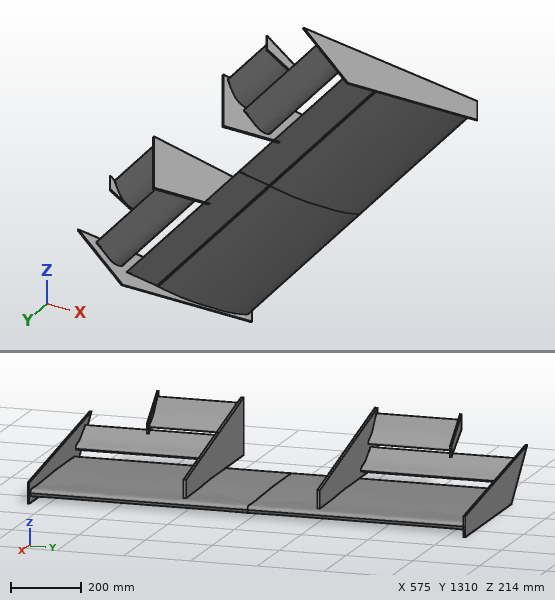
import cadquery as cq


half_span = 655.0
end_plate_thickness = 5.0
inner_plate_outer_y = 205.0
inner_plate_thickness = 8.0
tip_plate_outer_y = 456.0
tip_plate_thickness = 5.0
wing_tip_y = half_span - end_plate_thickness
tip_plate_inner_y = tip_plate_outer_y - tip_plate_thickness

overall_length = 575.0
overall_height = 214.0

main_tail = (165.0, 45.0)
main_top = [(367.0, 43.0), (532.0, 39.0)]
main_nose = (566.0, 29.0)
main_underside = [(550.0, 16.0), (514.0, 9.0), (410.0, 8.0), (343.0, 13.0), (267.0, 28.0)]

middle_tail = (65.0, 114.0)
middle_top = [(95.0, 94.0), (123.0, 80.0)]
middle_nose = (153.0, 64.0)
middle_underside = [(136.0, 59.0), (118.0, 65.0), (93.0, 88.0)]

upper_tail = (13.0, 200.0)
upper_top = [(35.0, 172.0), (67.0, 144.0)]
upper_nose = (85.0, 127.0)
upper_underside = [(71.0, 126.0), (52.0, 135.0), (35.0, 153.0), (25.0, 173.0)]

end_plate_tail = (8.0, 140.0)
end_plate_front_height = 62.0
end_plate_bottom_tail_x = 152.0

inner_plate_length = 527.0
inner_plate_front_height = 93.0

tip_plate_length = 93.0
tip_plate_tail_bottom = 169.0
tip_plate_front_top = 140.0
tip_plate_front_bottom = 109.0


def extrude_between(profile, inner_y, outer_y):
    """Extrude a closed XZ profile from inner_y to outer_y on the +Y side."""
    return profile.extrude(inner_y - outer_y).translate((0, inner_y, 0))


def plate(outline, inner_y, outer_y):
    return extrude_between(cq.Workplane("XZ").polyline(outline).close(), inner_y, outer_y)


def aerofoil(tail, top, nose, underside, inner_y, outer_y):
    """Blade with a sharp trailing edge; its two curves meet smoothly, square to the chord, at the nose."""
    chord = cq.Vector(*nose) - cq.Vector(*tail)
    nose_direction = (chord.y, -chord.x)
    leaving_tail = (top[0][0] - tail[0], top[0][1] - tail[1])
    reaching_tail = (tail[0] - underside[-1][0], tail[1] - underside[-1][1])
    profile = (
        cq.Workplane("XZ")
        .moveTo(*tail)
        .spline([*top, nose], tangents=[leaving_tail, nose_direction], includeCurrent=True)
        .spline([*underside, tail], tangents=[nose_direction, reaching_tail], includeCurrent=True)
        .close()
    )
    return extrude_between(profile, inner_y, outer_y)


def make_main_wing_half():
    return aerofoil(main_tail, main_top, main_nose, main_underside, 0, wing_tip_y)


def make_middle_flap():
    return aerofoil(middle_tail, middle_top, middle_nose, middle_underside, inner_plate_outer_y, wing_tip_y)


def make_upper_flap():
    """Upper flap in one piece with the small plate at its tip."""
    blade = aerofoil(upper_tail, upper_top, upper_nose, upper_underside, inner_plate_outer_y, tip_plate_inner_y)
    tip_outline = [
        (0, overall_height),
        (tip_plate_length, tip_plate_front_top),
        (tip_plate_length, tip_plate_front_bottom),
        (0, tip_plate_tail_bottom),
    ]
    return blade.union(plate(tip_outline, tip_plate_inner_y, tip_plate_outer_y))


def make_end_plate():
    outline = [
        end_plate_tail,
        (overall_length, end_plate_front_height),
        (overall_length, 0),
        (end_plate_bottom_tail_x, 0),
    ]
    return plate(outline, wing_tip_y, half_span)


def make_inner_plate():
    """Upright plate whose lower edge is shaped to the top of the main wing."""
    outline = [
        (0, overall_height),
        (inner_plate_length, inner_plate_front_height),
        (inner_plate_length, main_nose[1]),
        main_tail,
        (0, main_tail[1]),
    ]
    blank = plate(outline, inner_plate_outer_y - inner_plate_thickness, inner_plate_outer_y)
    return blank.cut(make_main_wing_half())


bodies = []
for make_body in (make_main_wing_half, make_middle_flap, make_upper_flap, make_end_plate, make_inner_plate):
    body = make_body().solids()
    bodies += [body.val(), body.mirror("XZ").val()]

result = cq.Compound.makeCompound(bodies)